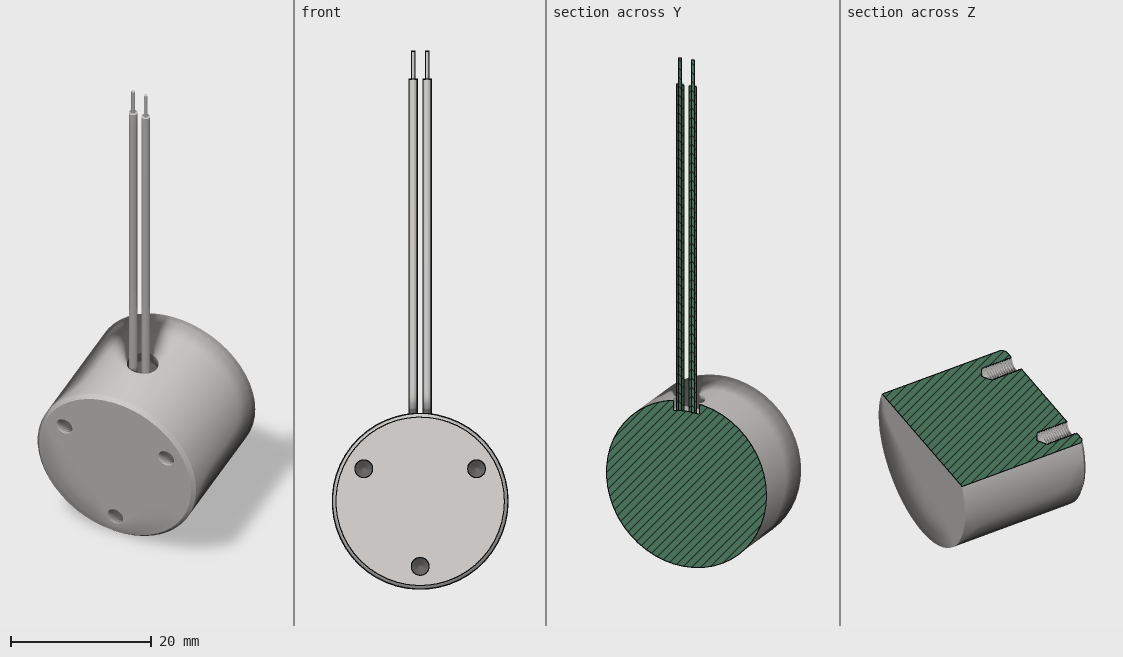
import cadquery as cq
import math

housing_diameter = 25.0
housing_length = 20.0
front_chamfer = 0.5
housing_radius = housing_diameter / 2

hole_count = 3
hole_diameter = 2.5
hole_circle_radius = 9.25
first_hole_angle = -90.0
drill_point_angle = 118.0

thread_diameter = 3.0
thread_pitch = 0.4
thread_turns = 13
crest_width = thread_pitch / 4
root_width = thread_pitch / 8
flank_width = (thread_pitch - crest_width - root_width) / 2
hole_depth = thread_turns * thread_pitch

port_diameter = 4.5
port_y = 9.0
port_depth = 1.5
port_floor_radius = housing_radius - port_depth

overall_height = 76.5
lead_spacing = 2.0
lead_y = 7.95
insulation_diameter = 1.2
core_diameter = 0.5
bare_core_length = 4.0
core_top_z = overall_height - housing_radius
insulation_top_z = core_top_z - bare_core_length


def y_cylinder(radius):
    """Solid cylinder along Y with the length of the housing."""
    return cq.Workplane("XZ").circle(radius).extrude(-housing_length)


def cylinder_above_port_floor(x, y, diameter, top_z):
    """Solid cylinder parallel to Z, standing on the curved port floor."""
    cylinder = cq.Workplane("XY", origin=(x, y, 0)).circle(diameter / 2).extrude(top_z)
    return cylinder.cut(y_cylinder(port_floor_radius))


def make_mounting_hole():
    """Cutter for one threaded hole running in +Y from the origin, ending in a cone."""
    hole_radius = hole_diameter / 2
    thread_radius = thread_diameter / 2
    outline = [(0, 0), (hole_radius, 0)]
    for turn in range(thread_turns):
        groove_start = turn * thread_pitch + crest_width / 2
        root_start = groove_start + flank_width
        root_end = root_start + root_width
        outline += [
            (hole_radius, groove_start),
            (thread_radius, root_start),
            (thread_radius, root_end),
            (hole_radius, root_end + flank_width),
        ]
    point_depth = hole_radius / math.tan(math.radians(drill_point_angle / 2))
    outline += [(hole_radius, hole_depth), (0, hole_depth + point_depth)]
    return cq.Workplane("XY").polyline(outline).close().revolve(360, (0, 0, 0), (0, 1, 0))


def make_housing():
    """Drum with a chamfered front edge, the cable port and the mounting holes."""
    drum = y_cylinder(housing_radius).faces("<Y").chamfer(front_chamfer)
    drum = drum.cut(cylinder_above_port_floor(0, port_y, port_diameter, housing_radius))
    mounting_hole = make_mounting_hole()
    for index in range(hole_count):
        angle = math.radians(first_hole_angle + index * 360 / hole_count)
        x = hole_circle_radius * math.cos(angle)
        z = hole_circle_radius * math.sin(angle)
        drum = drum.cut(mounting_hole.translate((x, 0, z)))
    return drum


def make_core(x):
    """Conductor running the full length of a lead and bare at its upper end."""
    return cylinder_above_port_floor(x, lead_y, core_diameter, core_top_z)


def make_insulation(x):
    """Sleeve around a conductor, stopping short of the bare end."""
    sleeve = cylinder_above_port_floor(x, lead_y, insulation_diameter, insulation_top_z)
    return sleeve.cut(make_core(x))


bodies = [make_housing().val()]
for lead_x in (-lead_spacing / 2, lead_spacing / 2):
    bodies.append(make_core(lead_x).val())
    bodies.append(make_insulation(lead_x).val())

result = cq.Compound.makeCompound(bodies)